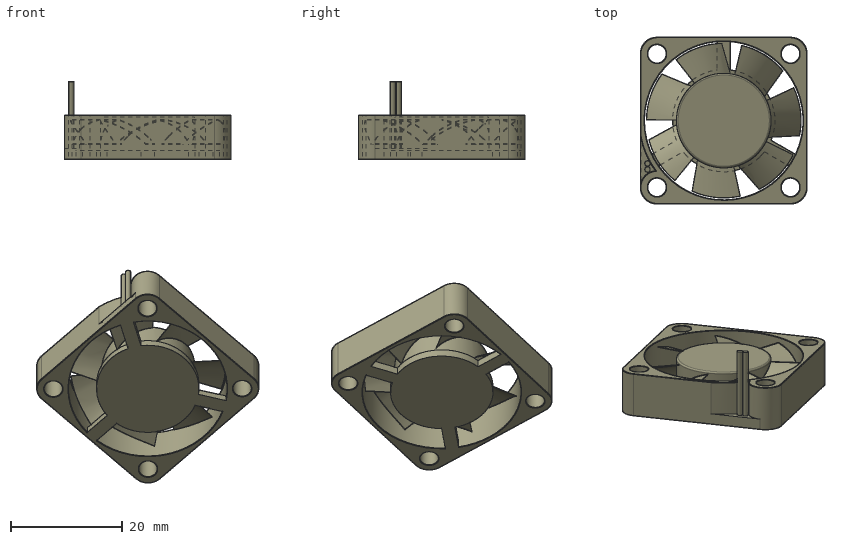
import cadquery as cq
import math

frame_side = 30.0
frame_height = 8.0
corner_radius = 3.0
edge_chamfer = 0.1
bore_diameter = 28.5
screw_hole_diameter = 3.3
screw_hole_pitch = frame_side - 2 * corner_radius

base_diameter = 18.42
base_height = 1.6
strut_width = 2.4
strut_count = 3
first_strut_angle = 90.0

notch_floor = 2.0
notch_wall_radius = 15.25
wire_diameter = 1.0
wire_top = 14.0
wire_spacing = 1.08
wire_x = -13.7
first_wire_y = -7.7
wire_count = 2

hub_diameter = 17.0
hub_top = 7.65
hub_fillet = 0.3
blade_count = 7
first_blade_angle = 25.2
blade_tip_diameter = 27.8
blade_top = 7.2
blade_bottom = 2.85
blade_thickness = 0.12
blade_bulge = 0.72
blade_inner_x = 4.5
blade_outer_x = 15.0
blade_inner_run = 5.55
blade_outer_run = 9.85


def make_wire_notch():
    """Pocket open to -X and +Z, bounded by the bore wall and the round corner boss."""
    half_side = frame_side / 2
    boss_center = -screw_hole_pitch / 2
    wall_start_angle = math.pi + math.acos(half_side / notch_wall_radius)
    center_distance = abs(boss_center) * math.sqrt(2)
    meeting_offset = math.acos(
        (notch_wall_radius**2 + center_distance**2 - corner_radius**2)
        / (2 * notch_wall_radius * center_distance)
    )
    wall_end_angle = math.radians(225) - meeting_offset
    wall_points = [
        (notch_wall_radius * math.cos(angle), notch_wall_radius * math.sin(angle))
        for angle in (wall_start_angle, (wall_start_angle + wall_end_angle) / 2, wall_end_angle)
    ]
    meeting_x, meeting_y = wall_points[2]
    boss_end_angle = math.atan2(meeting_y - boss_center, meeting_x - boss_center)
    boss_middle_angle = (boss_end_angle + math.pi) / 2
    boss_middle = (
        boss_center + corner_radius * math.cos(boss_middle_angle),
        boss_center + corner_radius * math.sin(boss_middle_angle),
    )
    return (
        cq.Workplane("XY", origin=(0, 0, notch_floor))
        .moveTo(*wall_points[0])
        .threePointArc(*wall_points[1:])
        .threePointArc(boss_middle, (-half_side, boss_center))
        .close()
        .extrude(frame_height - notch_floor)
    )


def make_frame():
    """Square frame with bore, screw holes and wire notch, its face edges broken."""
    blank = cq.Workplane("XY").rect(frame_side, frame_side).extrude(frame_height)
    frame = (
        blank.edges("|Z")
        .fillet(corner_radius)
        .faces(">Z")
        .workplane()
        .hole(bore_diameter)
        .faces(">Z")
        .workplane()
        .rect(screw_hole_pitch, screw_hole_pitch, forConstruction=True)
        .vertices()
        .hole(screw_hole_diameter)
        .cut(make_wire_notch())
    )
    return frame.faces("<Z or >Z").edges().chamfer(edge_chamfer)


def make_motor_base():
    """Round motor base carried by struts that reach the bore wall."""
    base = cq.Workplane("XY").circle(base_diameter / 2).extrude(base_height)
    strut_length = (bore_diameter + notch_wall_radius * 2) / 4
    strut = cq.Workplane("XY").box(
        strut_length, strut_width, base_height, centered=(False, True, False)
    )
    for i in range(strut_count):
        angle = first_strut_angle + i * 360 / strut_count
        base = base.union(strut.rotate((0, 0, 0), (0, 0, 1), angle))
    return base


def make_wires():
    """Upright wires that stand in the notch, rooted a little below its floor."""
    wire_places = [(wire_x, first_wire_y - i * wire_spacing) for i in range(wire_count)]
    return (
        cq.Workplane("XY", origin=(0, 0, base_height))
        .pushPoints(wire_places)
        .circle(wire_diameter / 2)
        .extrude(wire_top - base_height)
    )


def make_housing():
    """Frame, motor base and wires as one solid."""
    return make_frame().union(make_motor_base()).union(make_wires())


def blade_section(radial_x, run):
    """Thin curved section, in the plane X = radial_x, falling from its top edge towards -Y."""
    middle = (blade_top + blade_bottom) / 2 + blade_bulge
    return (
        cq.Workplane("YZ", origin=(radial_x, 0, 0))
        .moveTo(0, blade_top)
        .threePointArc((-run / 2, middle), (-run, blade_bottom))
        .lineTo(-run, blade_bottom - blade_thickness)
        .threePointArc((-run / 2, middle - blade_thickness), (0, blade_top - blade_thickness))
        .close()
        .wires()
        .val()
    )


def make_blade():
    """One blade, lofted outwards along +X and trimmed to the tip circle."""
    sections = [
        blade_section(blade_inner_x, blade_inner_run),
        blade_section(blade_outer_x, blade_outer_run),
    ]
    blade = cq.Workplane(cq.Solid.makeLoft(sections, True))
    tip_limit = cq.Workplane("XY").circle(blade_tip_diameter / 2).extrude(frame_height)
    return blade.intersect(tip_limit)


def make_rotor():
    """Round hub that sits on the motor base, with its ring of blades."""
    rotor = (
        cq.Workplane("XY", origin=(0, 0, base_height))
        .circle(hub_diameter / 2)
        .extrude(hub_top - base_height)
        .faces(">Z")
        .edges()
        .fillet(hub_fillet)
    )
    blade = make_blade()
    for i in range(blade_count):
        angle = first_blade_angle + i * 360 / blade_count
        rotor = rotor.union(blade.rotate((0, 0, 0), (0, 0, 1), angle))
    return rotor


housing = make_housing()
rotor = make_rotor()

result = cq.Compound.makeCompound([housing.val(), rotor.val()])